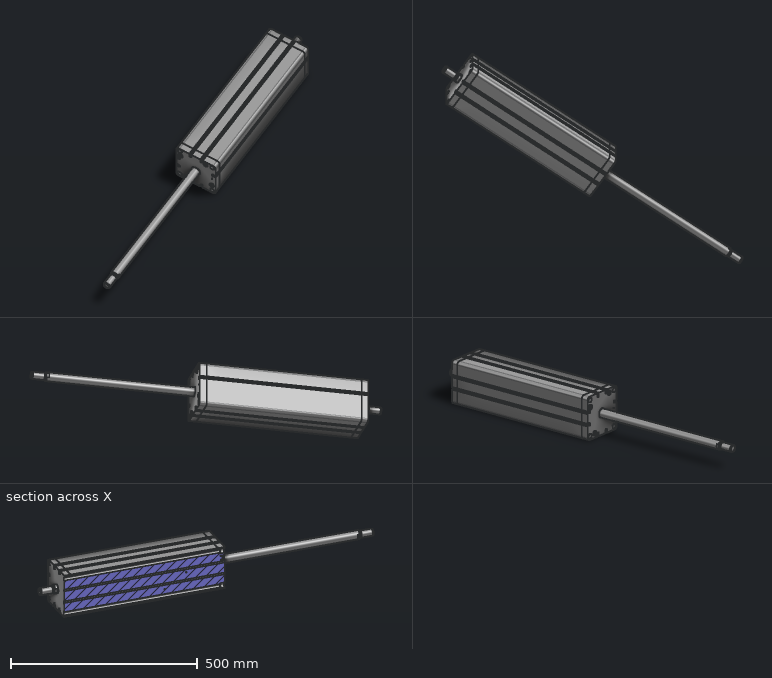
import cadquery as cq
import math

BODY_WIDTH = 124.0
STROKE = 400.0
ZERO_STROKE_LENGTH = 66.5
BODY_LENGTH = STROKE + ZERO_STROKE_LENGTH
FRONT_CAP_LENGTH = 20.0
REAR_CAP_LENGTH = 18.5
CORNER_RADIUS = 8.5
CAP_SETBACK = 0.05

GROOVE_OFFSET = 17.5
GROOVE_MOUTH_WIDTH = 7.5
GROOVE_NECK_WIDTH = 4.0
GROOVE_NECK_DEPTH = 2.0
GROOVE_BORE_DIAMETER = 7.0
GROOVE_BORE_DEPTH = 8.0

MOUNT_OFFSET = 51.5
MOUNT_DIAMETER = 8.38
MOUNT_RECESS_DIAMETER = 13.5
MOUNT_RECESS_DEPTH = 12.0

SCREW_X = 30.5
SCREW_Z = 49.5
SCREW_RECESS_DIAMETER = 13.5
SCREW_RECESS_DEPTH = 12.0
SCREW_HEAD_DIAMETER = 11.45
SCREW_HEAD_HEIGHT = 10.0
SOCKET_ACROSS_FLATS = 5.0
SOCKET_DEPTH = 5.0
SOCKET_SIDES = 6

PIN_HOLE_OFFSET = 50.5
PIN_HOLE_DIAMETER = 1.5
PIN_HOLE_DEPTH = 5.0

ROD_DIAMETER = 25.0
ROD_BORE_DIAMETER = 27.0
ROD_BORE_DEPTH = 5.0
ROD_NECK = 10.0
ROD_CHAMFER = 1.0
FLATS_ACROSS = 22.0
FLATS_LENGTH = 7.0
THREAD_DIAMETER = 20.0
THREAD_LENGTH = 40.0
THREAD_LEAD_IN = 3.0
UNDERCUT_DIAMETER = 17.5
UNDERCUT_LENGTH = 2.0

HALF_WIDTH = BODY_WIDTH / 2
ROD_FRONT = -(STROKE + ROD_NECK)
ROD_REAR = BODY_LENGTH + ROD_NECK


def cylinder(diameter, y_start, y_end, x=0.0, z=0.0):
    """Cylinder along +Y."""
    origin = cq.Vector(x, y_start, z)
    solid = cq.Solid.makeCylinder(diameter / 2, y_end - y_start, origin, cq.Vector(0, 1, 0))
    return cq.Workplane(solid)


def square_bar(width, y_start, y_end):
    """Square bar along Y with rounded long edges."""
    length = y_end - y_start
    bar = cq.Workplane("XY").box(width, length, width).edges("|Y").fillet(CORNER_RADIUS)
    return bar.translate((0, y_start + length / 2, 0))


def cut_around(body, cutter, turns=range(4)):
    """Cut quarter-turn copies of a cutter about the long axis."""
    for turn in turns:
        body = body.cut(cutter.rotate((0, 0, 0), (0, 1, 0), 90 * turn))
    return body


def make_body():
    """Tube between two end caps that sit a hair below its faces."""
    cap_width = BODY_WIDTH - 2 * CAP_SETBACK
    tube = square_bar(BODY_WIDTH, FRONT_CAP_LENGTH, BODY_LENGTH - REAR_CAP_LENGTH)
    return tube.union(square_bar(cap_width, 0, BODY_LENGTH))


def make_groove(x):
    """Full-length sensor groove in the top face."""
    bore_z = HALF_WIDTH - GROOVE_BORE_DEPTH
    neck_z = HALF_WIDTH - GROOVE_NECK_DEPTH
    half_mouth = GROOVE_MOUTH_WIDTH / 2
    half_neck = GROOVE_NECK_WIDTH / 2
    outline = [
        (x - half_mouth, HALF_WIDTH),
        (x - half_neck, neck_z),
        (x - half_neck, bore_z),
        (x + half_neck, bore_z),
        (x + half_neck, neck_z),
        (x + half_mouth, HALF_WIDTH),
    ]
    mouth = cq.Workplane("XZ").polyline(outline).close().extrude(-BODY_LENGTH)
    return mouth.union(cylinder(GROOVE_BORE_DIAMETER, 0, BODY_LENGTH, x, bore_z))


def cut_grooves(body):
    """Two grooves per face; the +X face has only its upper one."""
    body = cut_around(body, make_groove(-GROOVE_OFFSET))
    return cut_around(body, make_groove(GROOVE_OFFSET), (0, 2, 3))


def cut_mounting_holes(body):
    """Through holes at the corners, recessed at the front face."""
    hole = cylinder(MOUNT_DIAMETER, 0, BODY_LENGTH, MOUNT_OFFSET, MOUNT_OFFSET)
    recess = cylinder(MOUNT_RECESS_DIAMETER, 0, MOUNT_RECESS_DEPTH, MOUNT_OFFSET, MOUNT_OFFSET)
    return cut_around(body, hole.union(recess))


def sink_cap_screws(body):
    """Socket heads standing in round recesses of the front cap."""
    head_face = SCREW_RECESS_DEPTH - SCREW_HEAD_HEIGHT
    recess = cylinder(SCREW_RECESS_DIAMETER, 0, SCREW_RECESS_DEPTH, SCREW_X, SCREW_Z)
    head = cylinder(SCREW_HEAD_DIAMETER, head_face, SCREW_RECESS_DEPTH, SCREW_X, SCREW_Z)
    across_corners = SOCKET_ACROSS_FLATS / math.cos(math.pi / SOCKET_SIDES)
    socket = cq.Workplane("XZ").polygon(SOCKET_SIDES, across_corners).extrude(-SOCKET_DEPTH)
    socket = socket.translate((SCREW_X, head_face, SCREW_Z))
    return cut_around(body, recess.cut(head.cut(socket)))


def cut_pin_hole(body):
    """Blind hole in the front face, level with the rod."""
    return body.cut(cylinder(PIN_HOLE_DIAMETER, 0, PIN_HOLE_DEPTH, PIN_HOLE_OFFSET))


def make_flats_cutter(y_start):
    """Material beside the two wrench flats, which face +X and -X."""
    outer = 2 * ROD_DIAMETER
    slab = cq.Workplane("XY").box(outer, FLATS_LENGTH, outer)
    slab = slab.cut(cq.Workplane("XY").box(FLATS_ACROSS, FLATS_LENGTH, outer))
    return slab.translate((0, y_start + FLATS_LENGTH / 2, 0))


def rod_end_outline():
    """Radius and distance beyond the shoulder, from the rod surface out to the thread tip."""
    rod_radius = ROD_DIAMETER / 2
    thread_radius = THREAD_DIAMETER / 2
    root_radius = UNDERCUT_DIAMETER / 2
    return [
        (rod_radius, -ROD_CHAMFER),
        (rod_radius - ROD_CHAMFER, 0),
        (root_radius, 0),
        (root_radius, UNDERCUT_LENGTH),
        (thread_radius, UNDERCUT_LENGTH + THREAD_LEAD_IN),
        (thread_radius, THREAD_LENGTH - THREAD_LEAD_IN),
        (root_radius, THREAD_LENGTH),
        (0, THREAD_LENGTH),
    ]


def make_rod():
    """Turned rod with a thread cylinder and two wrench flats at each end."""
    front = [(radius, ROD_FRONT - distance) for radius, distance in rod_end_outline()]
    rear = [(radius, ROD_REAR + distance) for radius, distance in rod_end_outline()]
    outline = front[::-1] + rear
    shaft = cq.Workplane("XY").polyline(outline).close().revolve(360, (0, 0, 0), (0, 1, 0))
    shaft = shaft.cut(make_flats_cutter(ROD_FRONT))
    return shaft.cut(make_flats_cutter(ROD_REAR - FLATS_LENGTH))


body = make_body()
body = cut_grooves(body)
body = cut_mounting_holes(body)
body = sink_cap_screws(body)
body = cut_pin_hole(body)
body = body.cut(cylinder(ROD_BORE_DIAMETER, 0, ROD_BORE_DEPTH))
result = body.union(make_rod())